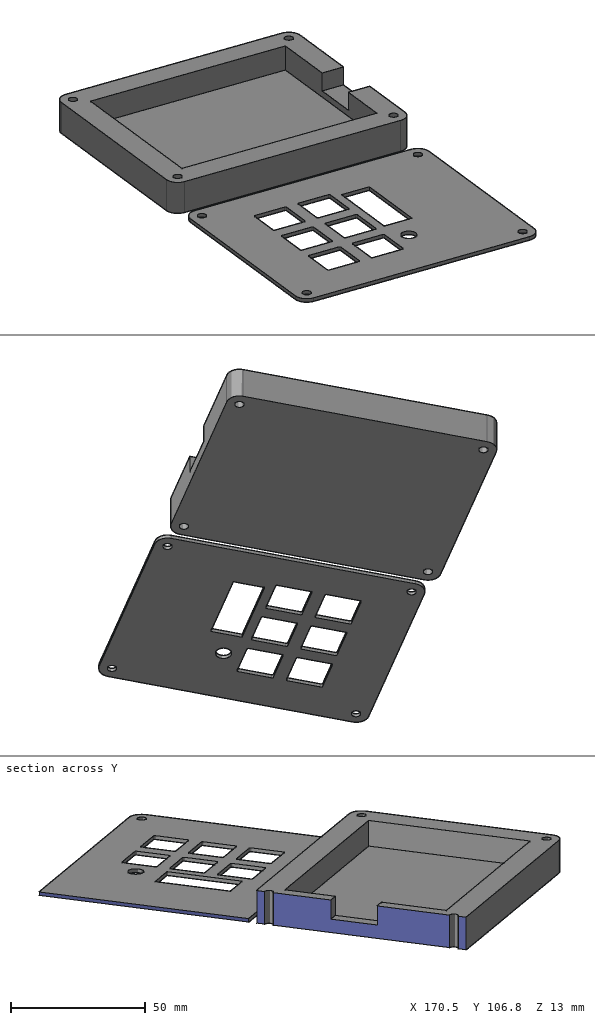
import cadquery as cq

width = 83.7
length = 104.3
corner_radius = 5.0
screw_diameter = 3.4
screw_spacing_x = width - 2 * corner_radius
screw_spacing_y = length - 2 * corner_radius

case_height = 13.0
cavity_width = 64.5
cavity_length = 85.2
cavity_shift_y = 0.2
cavity_depth = 10.0
notch_width = 18.4
notch_shift_x = 2.9
notch_depth = 7.5

overall_width = 170.5
plate_thickness = 1.5
plate_shift_x = overall_width - width
plate_shift_y = 2.5

key_size = 14.0
key_corner_radius = 0.5
key_pitch = 19.1
key_columns = 3
key_rows = 2
keypad_x = -0.5
keypad_y = -14.3
window_width = 30.0
window_length = 12.1
window_x = -9.0
window_y = 12.0
knob_hole_diameter = 6.0
knob_hole_x = 16.9
knob_hole_y = 9.9


def make_panel(height):
    """Rounded rectangular slab on Z = 0 with a screw hole through each corner."""
    return (
        cq.Workplane("XY")
        .rect(width, length)
        .extrude(height)
        .edges("|Z")
        .fillet(corner_radius)
        .faces(">Z")
        .workplane()
        .rect(screw_spacing_x, screw_spacing_y, forConstruction=True)
        .vertices()
        .hole(screw_diameter)
    )


def make_case():
    """Tray with a rectangular cavity and a notch through the rear (+Y) wall."""
    cavity = (
        cq.Workplane("XY", origin=(0, cavity_shift_y, case_height - cavity_depth))
        .rect(cavity_width, cavity_length)
        .extrude(cavity_depth)
    )
    notch_length = length / 2
    notch = (
        cq.Workplane("XY", origin=(notch_shift_x, notch_length / 2, case_height - notch_depth))
        .rect(notch_width, notch_length)
        .extrude(notch_depth)
    )
    return make_panel(case_height).cut(cavity).cut(notch)


def make_faceplate():
    """Thin plate with a key grid, a display window and a knob hole."""
    keys = (
        cq.Workplane("XY", origin=(keypad_x, keypad_y, 0))
        .rarray(key_pitch, key_pitch, key_columns, key_rows)
        .rect(key_size, key_size)
        .extrude(plate_thickness)
        .edges("|Z")
        .fillet(key_corner_radius)
    )
    window = (
        cq.Workplane("XY", origin=(window_x, window_y, 0))
        .rect(window_width, window_length)
        .extrude(plate_thickness)
    )
    knob_hole = (
        cq.Workplane("XY", origin=(knob_hole_x, knob_hole_y, 0))
        .circle(knob_hole_diameter / 2)
        .extrude(plate_thickness)
    )
    plate = make_panel(plate_thickness).cut(keys).cut(window).cut(knob_hole)
    return plate.translate((plate_shift_x, plate_shift_y, 0))


case = make_case()
faceplate = make_faceplate()

result = cq.Compound.makeCompound([case.val(), faceplate.val()])